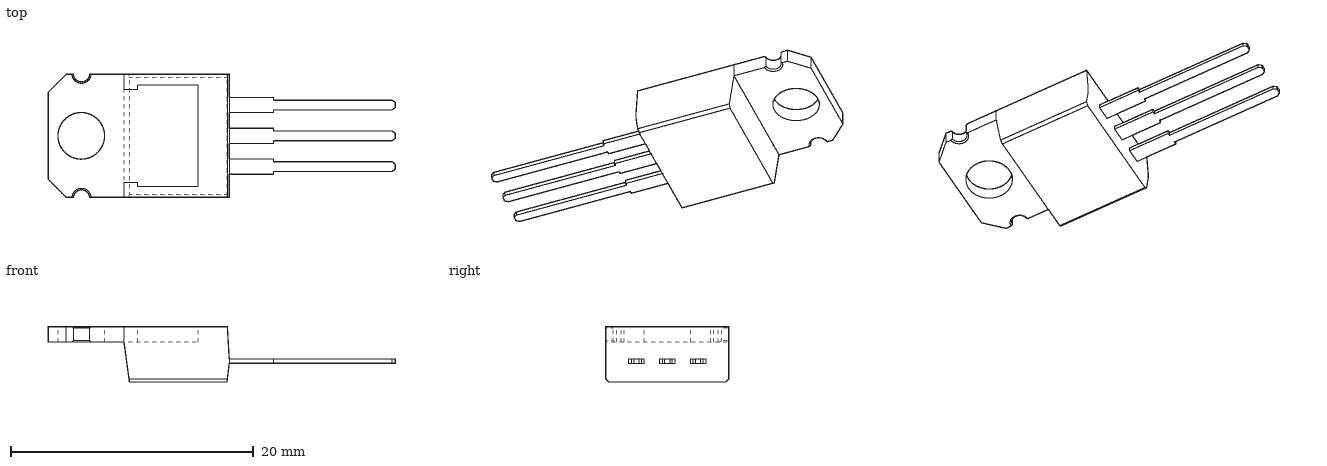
import cadquery as cq

total_length = 28.65
width = 10.16
height = 4.57
half_width = width / 2

tab_thickness = 1.27
tab_corner_chamfer = 1.5
tab_shoulder_x = 6.25
tab_neck_end_x = 7.38
tab_end_x = 12.36
tab_neck_half_width = 3.83
tab_inner_half_width = 4.19
hole_x = 2.74
notch_x = 2.76
hole_diameter = 3.83
notch_diameter = 1.32
notch_center_offset = 0.04
notch_chamfer = 0.13

housing_foot_x = 6.7
housing_top_end_x = 14.8
housing_end_x = 14.95
housing_foot_end_x = 14.76
housing_foot_chamfer = 0.25

lead_count = 3
lead_pitch = 2.54
lead_thickness = 0.38
lead_center_z = -2.85
lead_wide_end_x = 18.6
lead_wide_width = 1.27
lead_narrow_width = 0.82
lead_tip_length = 0.28
lead_tip_width = 0.42


def mirrored_outline(upper_points):
    """Closed XY outline from its +Y half, listed from the -X end to the +X end."""
    lower_points = [(x, -y) for x, y in reversed(upper_points)]
    return cq.Workplane("XY").polyline(upper_points + lower_points).close()


def tab_blank():
    """Tab plate with clipped front corners and a necked tail inside the housing."""
    upper_points = [
        (0, half_width - tab_corner_chamfer),
        (tab_corner_chamfer, half_width),
        (tab_shoulder_x, half_width),
        (tab_shoulder_x, tab_neck_half_width),
        (tab_neck_end_x, tab_neck_half_width),
        (tab_neck_end_x, tab_inner_half_width),
        (tab_end_x, tab_inner_half_width),
    ]
    return mirrored_outline(upper_points).extrude(-tab_thickness)


def notch_cutter(y):
    """Edge notch: a cylinder that flares at both faces of the tab."""
    radius = notch_diameter / 2
    flared_radius = radius + notch_chamfer
    profile = [
        (0, 0),
        (flared_radius, 0),
        (radius, -notch_chamfer),
        (radius, notch_chamfer - tab_thickness),
        (flared_radius, -tab_thickness),
        (0, -tab_thickness),
    ]
    cutter = cq.Workplane("XZ").polyline(profile).close().revolve(360, (0, 0, 0), (0, 1, 0))
    return cutter.translate((notch_x, y, 0))


def make_tab():
    hole = cq.Workplane("XY").center(hole_x, 0).circle(hole_diameter / 2).extrude(-tab_thickness)
    tab = tab_blank().cut(hole)
    notch_y = half_width + notch_center_offset
    for y in (-notch_y, notch_y):
        tab = tab.cut(notch_cutter(y))
    return tab


def make_housing():
    """Drafted block with chamfered lower side edges and a pocket for the tab tail."""
    lead_top_z = lead_center_z + lead_thickness / 2
    lead_bottom_z = lead_center_z - lead_thickness / 2
    side_profile = [
        (tab_shoulder_x, 0),
        (housing_top_end_x, 0),
        (housing_end_x, lead_top_z),
        (housing_end_x, lead_bottom_z),
        (housing_foot_end_x, -height),
        (housing_foot_x, -height),
        (tab_shoulder_x, -tab_thickness),
    ]
    block = cq.Workplane("XZ").polyline(side_profile).close().extrude(half_width, both=True)
    block = block.faces("<Z").edges("|X").chamfer(housing_foot_chamfer)
    return block.cut(tab_blank())


def make_lead(y):
    """Flat lead that butts against the housing end, steps narrower and ends in a tapered tip."""
    upper_points = [
        (housing_end_x, lead_wide_width / 2),
        (lead_wide_end_x, lead_wide_width / 2),
        (lead_wide_end_x, lead_narrow_width / 2),
        (total_length - lead_tip_length, lead_narrow_width / 2),
        (total_length, lead_tip_width / 2),
    ]
    lead = mirrored_outline(upper_points).extrude(lead_thickness / 2, both=True)
    return lead.translate((0, y, lead_center_z))


tab = make_tab()
housing = make_housing()
leads = [make_lead((index - (lead_count - 1) / 2) * lead_pitch) for index in range(lead_count)]

result = cq.Compound.makeCompound([tab.val(), housing.val(), *[lead.val() for lead in leads]])